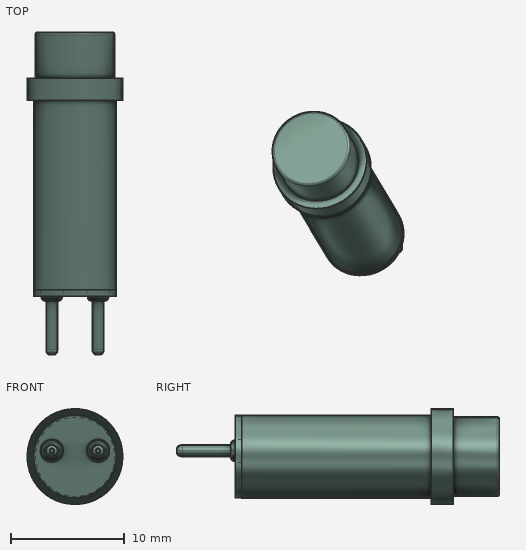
import cadquery as cq
import math


overall_length = 28.3
pin_reach = 5.12

base_diameter = 7.25
base_thickness = 0.6

barrel_diameter = 7.28
flange_diameter = 8.38
flange_thickness = 1.95

lens_diameter = 6.95
lens_length = 4.03
lens_edge_radius = 0.2

pin_diameter = 1.02
pin_pitch = 4.06
pin_height = 0.51
tip_flat_diameter = 0.4
pin_foot_diameter = 2.0
bead_diameter = 1.84
bead_height = 0.4

lens_end = overall_length - pin_reach
lens_seat = lens_end - lens_length
flange_bottom = lens_seat - flange_thickness

pin_positions = [-pin_pitch / 2, pin_pitch / 2]


def cylinder_along_y(diameter, start, length):
    """Cylinder on the lamp axis, running from Y = start towards +Y."""
    plane = cq.Workplane("XZ", origin=(0, start, 0))
    return plane.circle(diameter / 2).extrude(-length)


def make_housing():
    """Barrel with the mounting flange at its lens end."""
    barrel = cylinder_along_y(barrel_diameter, base_thickness, lens_seat - base_thickness)
    flange = cylinder_along_y(flange_diameter, flange_bottom, flange_thickness)
    return barrel.union(flange)


def make_lens():
    """Plain cylindrical lens with a rounded outer rim."""
    lens = cylinder_along_y(lens_diameter, lens_seat, lens_length)
    return lens.faces(">Y").edges().fillet(lens_edge_radius)


def make_base():
    """Closing disc with one through hole for each pin."""
    disc = cylinder_along_y(base_diameter, 0, base_thickness)
    for x in pin_positions:
        hole = cylinder_along_y(pin_foot_diameter, 0, base_thickness)
        disc = disc.cut(hole.translate((x, 0, pin_height)))
    return disc


def make_pin(x):
    """Pin with a foot set flush in the base, a domed bead and a flattened round tip."""
    pin_radius = pin_diameter / 2
    foot_radius = pin_foot_diameter / 2
    bead_radius = bead_diameter / 2
    tip_flat_radius = tip_flat_diameter / 2
    tip_length = math.sqrt(pin_radius**2 - tip_flat_radius**2)
    profile = (
        cq.Workplane("XY")
        .moveTo(0, base_thickness)
        .lineTo(foot_radius, base_thickness)
        .lineTo(foot_radius, 0)
        .lineTo(bead_radius, 0)
        .radiusArc((pin_radius, -bead_height), bead_height)
        .lineTo(pin_radius, -pin_reach + tip_length)
        .radiusArc((tip_flat_radius, -pin_reach), pin_radius)
        .lineTo(0, -pin_reach)
        .close()
    )
    pin = profile.revolve(360, (0, 0, 0), (0, 1, 0))
    return pin.translate((x, 0, pin_height))


housing = make_housing()
lens = make_lens()
base = make_base()
pins = [make_pin(x) for x in pin_positions]

result = cq.Compound.makeCompound(
    [housing.val(), lens.val(), base.val(), *[pin.val() for pin in pins]]
)